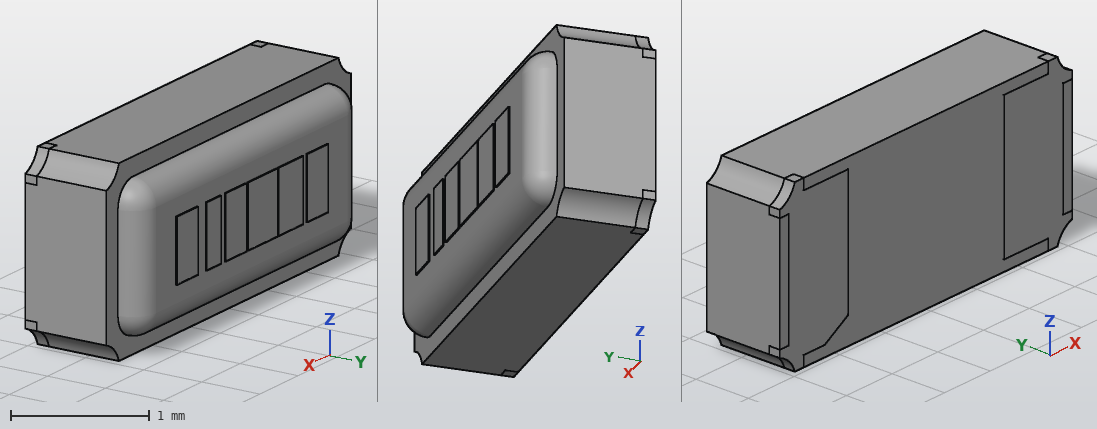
import cadquery as cq
import math

base_length = 3.2
base_depth = 0.7
base_height = 1.5
notch_reach = 0.163
notch_radius = 0.25

terminal_thickness = 0.1
terminal_length = 0.75
edge_inset = 0.1
corner_tab = 0.262
end_tab = 0.23
key_length = 0.26
key_height = 0.15

lid_length = 2.9
lid_height = 1.2
lid_depth = 0.2

mark_thickness = 0.01
mark_height = 0.52
mark_spans = [
    (-0.99, 0.275),
    (-0.662, 0.323),
    (-0.323, 0.38),
    (0.08, 0.275),
    (0.415, 0.19),
    (0.717, 0.275),
]

half_length = base_length / 2
half_height = base_height / 2


def slab(outline, y_start, depth):
    """Extrude an XZ outline toward +Y from y_start."""
    return outline.extrude(-depth).translate((0, y_start, 0))


def plate(length, height, y_start, depth):
    """Rectangular slab centred on the Y axis."""
    return slab(cq.Workplane("XZ").rect(length, height), y_start, depth)


def make_notch_cutters():
    """Four cylinders along Y that scoop out the corners of the base."""
    half_chord = notch_reach / math.sqrt(2)
    axis_from_chord = math.sqrt(notch_radius**2 - half_chord**2)
    axis_offset = axis_from_chord / math.sqrt(2) - notch_reach / 2
    axes = cq.Workplane("XZ").rect(
        base_length + 2 * axis_offset, base_height + 2 * axis_offset, forConstruction=True
    )
    return slab(axes.vertices().circle(notch_radius), 0, base_depth)


def make_terminal(side, keyed):
    """Inlay at the end given by side (-1 or +1), with a bevelled lower corner if keyed."""
    end_x = half_length
    inset_x = end_x - edge_inset
    inner_x = end_x - terminal_length
    tab_x = end_x - corner_tab
    inset_z = half_height - edge_inset
    tab_z = half_height - end_tab

    lower_corner = [(inner_x, -inset_z)]
    if keyed:
        lower_corner = [(inner_x, -inset_z + key_height), (inner_x + key_length, -inset_z)]
    points = [
        (inner_x, inset_z),
        *lower_corner,
        (tab_x, -inset_z),
        (tab_x, -half_height),
        (end_x, -half_height),
        (end_x, -tab_z),
        (inset_x, -tab_z),
        (inset_x, tab_z),
        (end_x, tab_z),
        (end_x, half_height),
        (tab_x, half_height),
        (tab_x, inset_z),
    ]
    outline = cq.Workplane("XZ").polyline([(side * x, z) for x, z in points]).close()
    return slab(outline, 0, terminal_thickness).cut(make_notch_cutters()).solids()


def make_base(terminals):
    """Block with scooped corners and a matching recess for each terminal."""
    base = plate(base_length, base_height, 0, base_depth).cut(make_notch_cutters())
    for terminal in terminals:
        base = base.cut(terminal)
    return base.solids()


def make_lid():
    """Top part of a fully rounded block, so that its edges reach the base as quarter rounds."""
    rounded_depth = 3 * lid_depth
    top = base_depth + lid_depth
    rounded = plate(lid_length, lid_height, top - rounded_depth, rounded_depth).edges().fillet(lid_depth)
    above_base = plate(lid_length, lid_height, base_depth, lid_depth)
    return rounded.intersect(above_base).solids()


def make_mark(start, length):
    """Thin plate on the flat top of the lid."""
    mark = plate(length, mark_height, base_depth + lid_depth, mark_thickness)
    return mark.translate((start + length / 2, 0, 0))


terminals = [make_terminal(-1, keyed=True), make_terminal(1, keyed=False)]
base = make_base(terminals)
lid = make_lid()
marks = [make_mark(start, length) for start, length in mark_spans]

result = cq.Compound.makeCompound(
    [
        base.val(),
        lid.val(),
        *[terminal.val() for terminal in terminals],
        *[mark.val() for mark in marks],
    ]
)